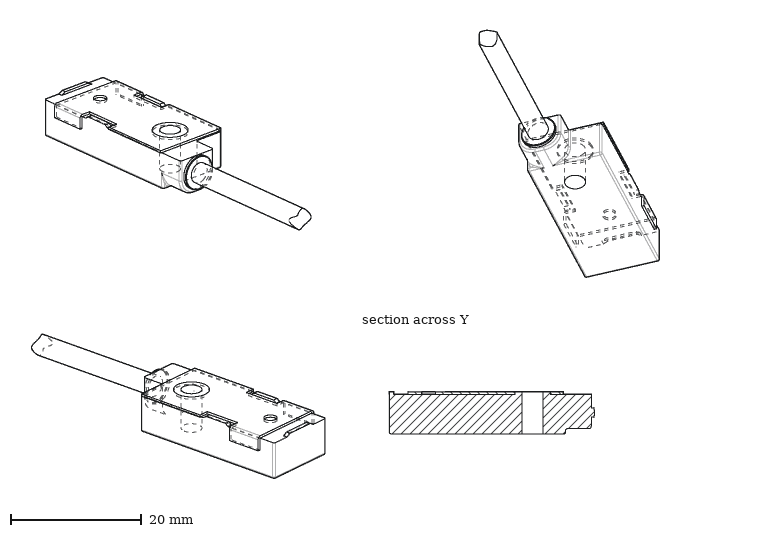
import cadquery as cq

TOTAL_LENGTH = 55.2
TOTAL_WIDTH = 13.1
TOTAL_HEIGHT = 6.5

COVER_THICKNESS = 0.4
COVER_START = 2.85
COVER_END = 26.7
COVER_WIDTH = 12.55
FLANGE_DEPTH = 2.4
BEND_RADIUS = 0.5
NOTCH_START = 8.65
NOTCH_END = 14.85
NOTCH_SPACING = 9.2
INDICATOR_DIAMETER = 2.05
INDICATOR_X = 6.0

HOUSING_HEIGHT = TOTAL_HEIGHT - COVER_THICKNESS
HOUSING_WIDTH = 12.15
EDGE_RADIUS = 0.35
HOUSING_END = COVER_END + EDGE_RADIUS
MOUNT_X = 22.0
BOSS_DIAMETER = 5.5
MOUNT_HOLE_DIAMETER = 3.2

SIDE_TAB_START = 9.4
SIDE_TAB_END = 14.35
SIDE_TAB_DEPTH = 0.85
SIDE_TAB_RAMP = 0.5
END_TAB_WIDTH = 6.2
END_TAB_DEPTH = 0.7
END_TAB_RAMP = 0.7

NECK_END = 31.05
NECK_WIDTH = 6.85
NECK_CORNER_RADIUS = 2.7
NECK_ROOT_RADIUS = 0.3
NECK_Y = (NECK_WIDTH - HOUSING_WIDTH) / 2
CABLE_Z = 3.3
COLLAR_DIAMETER = 5.5
COLLAR_LENGTH = 0.5
COLLAR_CHAMFER = 0.1
CABLE_DIAMETER = 3.3
CABLE_RADIUS = CABLE_DIAMETER / 2

CABLE_BREAK = [(54.45, 0.65), (54.8, -0.15), (55.05, -0.85), (53.8, -CABLE_RADIUS)]
BREAK_END_DIRECTIONS = [(-1, -0.3), (-1, -0.2)]

TOLERANCE = 0.05


def span(x_range, y_range, z_range):
    """Box between the given limits."""
    size = [high - low for low, high in (x_range, y_range, z_range)]
    corner = (x_range[0], y_range[0], z_range[0])
    return cq.Workplane().box(*size, centered=False).translate(corner)


def upright_cylinder(x, diameter, bottom, top):
    return cq.Workplane(origin=(x, 0, bottom)).circle(diameter / 2).extrude(top - bottom)


def housing_block():
    half_width = HOUSING_WIDTH / 2
    block = span((0, HOUSING_END), (-half_width, half_width), (0, HOUSING_HEIGHT))
    return block.edges("|Z or <Z").fillet(EDGE_RADIUS)


def neck():
    """Neck with a rounded underside, running into the back of the housing."""
    start = COVER_END - NECK_CORNER_RADIUS
    half_width = NECK_WIDTH / 2
    bar = span((start, NECK_END), (NECK_Y - half_width, NECK_Y + half_width), (0, HOUSING_HEIGHT))
    bar = bar.edges("|X and <Z").fillet(NECK_CORNER_RADIUS)
    back_rim = bar.faces(">X").edges("not >Z")
    return bar.newObject(back_rim.vals()).fillet(EDGE_RADIUS)


def round_neck_root(body):
    """Fillet the inside corner between the neck and the back face of the housing."""
    side_limit = HOUSING_WIDTH / 2 - 1.5 * EDGE_RADIUS
    neck_side = NECK_Y + NECK_WIDTH / 2
    low = (HOUSING_END - TOLERANCE, -side_limit, EDGE_RADIUS + TOLERANCE)
    high = (HOUSING_END + TOLERANCE, neck_side + TOLERANCE, HOUSING_HEIGHT - TOLERANCE)
    return body.edges(cq.selectors.BoxSelector(low, high)).fillet(NECK_ROOT_RADIUS)


def collar():
    plane = cq.Workplane("YZ", origin=(NECK_END, NECK_Y, CABLE_Z))
    return plane.circle(COLLAR_DIAMETER / 2).extrude(COLLAR_LENGTH).faces(">X").chamfer(COLLAR_CHAMFER)


def cable():
    """Round cable whose free end is cut to a wavy break."""
    plan = (
        cq.Workplane(origin=(0, NECK_Y, CABLE_Z - CABLE_RADIUS))
        .moveTo(NECK_END, CABLE_RADIUS)
        .lineTo(TOTAL_LENGTH, CABLE_RADIUS)
        .spline(CABLE_BREAK, tangents=BREAK_END_DIRECTIONS, includeCurrent=True)
        .lineTo(NECK_END, -CABLE_RADIUS)
        .close()
        .extrude(CABLE_DIAMETER)
    )
    axis = cq.Workplane("YZ", origin=(NECK_END, NECK_Y, CABLE_Z))
    return axis.circle(CABLE_RADIUS).extrude(TOTAL_LENGTH - NECK_END).intersect(plan)


def ramped_tab(length, depth, ramp):
    """Tab along X with sloping ends, centred on the origin in X and Y and standing on Z = 0."""
    foot = length / 2
    crest = foot - ramp
    outline = [(-foot, 0), (foot, 0), (crest, COVER_THICKNESS), (-crest, COVER_THICKNESS)]
    return cq.Workplane("XZ").polyline(outline).close().extrude(depth / 2, both=True)


def make_housing():
    body = round_neck_root(housing_block().union(neck()))
    body = body.union(collar()).union(cable())

    side_tab = ramped_tab(SIDE_TAB_END - SIDE_TAB_START, SIDE_TAB_DEPTH, SIDE_TAB_RAMP)
    side_tab_x = (SIDE_TAB_START + SIDE_TAB_END) / 2
    side_tab_y = (HOUSING_WIDTH - SIDE_TAB_DEPTH) / 2
    for side in (-1, 1):
        body = body.union(side_tab.translate((side_tab_x, side * side_tab_y, HOUSING_HEIGHT)))

    end_tab = ramped_tab(END_TAB_WIDTH, END_TAB_DEPTH, END_TAB_RAMP)
    end_tab = end_tab.rotate((0, 0, 0), (0, 0, 1), 90)
    body = body.union(end_tab.translate((END_TAB_DEPTH / 2, 0, HOUSING_HEIGHT)))

    body = body.union(upright_cylinder(MOUNT_X, BOSS_DIAMETER, HOUSING_HEIGHT, TOTAL_HEIGHT))
    return body.cut(upright_cylinder(MOUNT_X, MOUNT_HOLE_DIAMETER, 0, TOTAL_HEIGHT))


def cover_clip():
    """Front stretch of the cover, bent down over both sides of the housing."""
    outer_half = TOTAL_WIDTH / 2
    inner_half = outer_half - COVER_THICKNESS
    flange_bottom = TOTAL_HEIGHT - FLANGE_DEPTH
    x_range = (COVER_START, NOTCH_START)
    outside = span(x_range, (-outer_half, outer_half), (flange_bottom, TOTAL_HEIGHT))
    inside = span(x_range, (-inner_half, inner_half), (flange_bottom, HOUSING_HEIGHT))
    outside = outside.edges("|X and >Z").fillet(BEND_RADIUS)
    return outside.cut(inside)


def make_cover():
    """Cover plate with a bent clip, a notch around each side tab and two holes."""
    height_range = (HOUSING_HEIGHT, TOTAL_HEIGHT)
    waist_half = NOTCH_SPACING / 2
    back_half = COVER_WIDTH / 2
    waist = span((NOTCH_START, NOTCH_END), (-waist_half, waist_half), height_range)
    back = span((NOTCH_END, COVER_END), (-back_half, back_half), height_range)
    cover = cover_clip().union(waist).union(back)
    for x, diameter in ((INDICATOR_X, INDICATOR_DIAMETER), (MOUNT_X, BOSS_DIAMETER)):
        cover = cover.cut(upright_cylinder(x, diameter, *height_range))
    return cover


housing = make_housing()
cover = make_cover()

result = cq.Compound.makeCompound([housing.val(), cover.val()])